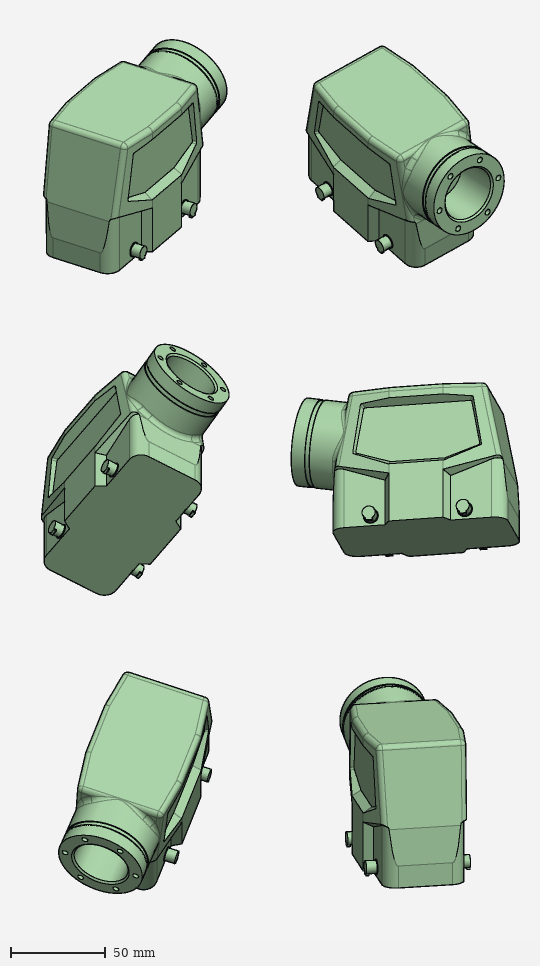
import cadquery as cq
import math

hood_height = 76.2
hood_half_length = 47.1
rim_height = 12.2
shoulder_height = 32.2
shoulder_half_length = 45.5
end_tilt = 11.0
lower_half_width = 22.0
lower_corner_radius = 7.4
lower_body_height = 34.2

clearance = 1.2
touch_tolerance = 0.01

wide_half_width = 27.1
wide_half_length = 14.6
side_taper = 8.2
upper_start = 17.7
edge_radius = 3.1

underside_height = 27.1
underside_rise = 0.35
underside_draft = 0.6

rib_foot_half_length = 17.7
rib_top = 35.3

pocket_floor_x = 22.4
pocket_top = 66.5
pocket_bottom = 35.2
pocket_top_half_length = 29.0
pocket_shoulder_half_length = 33.5
pocket_shoulder_height = 41.5
pocket_wall_taper = 32.0
pocket_corner_radius = 1.2

overall_y_max = 70.7
overall_height = 81.4
collar_radius = 23.4
collar_length = 35.3
collar_blend_radius = 2.7
groove_start = 7.4
groove_width = 2.5
groove_depth = 0.6
bore_radius = 15.1
bore_depth = 25.9
bore_chamfer = 1.1
screw_hole_count = 6
screw_hole_diameter = 3.2
screw_hole_circle = 39.6
screw_hole_depth = 7.1

overall_width = 56.0
pin_tip_x = overall_width / 2
pin_y = 25.3
pin_z = 5.4
pin_radius = 3.5
pin_ring_radius = 4.0
pin_ring_thickness = 0.4
pin_tab_length = 1.6
pin_tab_width = 3.7
pin_tab_bottom = 1.3

tilt = math.radians(end_tilt)
top_half_length = shoulder_half_length - (hood_height - shoulder_height) * math.tan(tilt)


def side_profile():
    """Hood outline seen along X, as a slab spanning its full width."""
    right_half = [
        (hood_half_length, 0),
        (hood_half_length, rim_height),
        (shoulder_half_length, shoulder_height),
        (top_half_length, hood_height),
    ]
    left_half = [(-y, z) for y, z in reversed(right_half)]
    return cq.Workplane("YZ").polyline(right_half + left_half).close().extrude(wide_half_width, both=True)


def lower_body():
    block = (
        cq.Workplane("XY")
        .rect(2 * lower_half_width, 2 * hood_half_length)
        .extrude(lower_body_height)
        .edges("|Z")
        .fillet(lower_corner_radius)
    )
    return block.intersect(side_profile())


def octagon():
    """Plan outline of the upper body."""
    taper_length = hood_half_length - wide_half_length
    end_half_width = wide_half_width - taper_length * math.tan(math.radians(side_taper))
    return [
        (wide_half_width, -wide_half_length),
        (wide_half_width, wide_half_length),
        (end_half_width, hood_half_length),
        (-end_half_width, hood_half_length),
        (-wide_half_width, wide_half_length),
        (-wide_half_width, -wide_half_length),
        (-end_half_width, -hood_half_length),
        (end_half_width, -hood_half_length),
    ]


def underside_cutter():
    """Space below the sloping underside at the +X, +Y quarter."""

    def section(x):
        """Closed outline of the cutter at distance x from the symmetry plane."""
        start = underside_height + underside_draft * (x - wide_half_width)
        end = start + underside_rise * (hood_half_length - wide_half_length)
        plane = cq.Plane(origin=(x, 0, 0), xDir=(0, 1, 0), normal=(1, 0, 0))
        outline = [
            (wide_half_length, 0),
            (hood_half_length, 0),
            (hood_half_length, end),
            (wide_half_length, start),
        ]
        return cq.Workplane(plane).polyline(outline).close().wires().val()

    return cq.Workplane(cq.Solid.makeLoft([section(0), section(wide_half_width + clearance)], True))


def upper_body():
    body = cq.Workplane("XY").workplane(offset=upper_start).polyline(octagon()).close()
    body = body.extrude(hood_height - upper_start)
    body = body.intersect(side_profile())
    edges_to_round = cq.selectors.StringSyntaxSelector(">Z")
    for side in (-1, 1):
        edges_to_round = edges_to_round + cq.selectors.BoxSelector(
            (-wide_half_width, side * (top_half_length - clearance), shoulder_height + clearance),
            (wide_half_width, side * hood_half_length, hood_height - clearance),
        )
    body = body.edges(edges_to_round).fillet(edge_radius)
    cutter = underside_cutter()
    cutter = cutter.union(cutter.mirror("YZ"))
    return body.cut(cutter).cut(cutter.mirror("XZ"))


def ribs():
    outline = [
        (wide_half_width, -wide_half_length),
        (wide_half_width, wide_half_length),
        (lower_half_width, rib_foot_half_length),
        (-lower_half_width, rib_foot_half_length),
        (-wide_half_width, wide_half_length),
        (-wide_half_width, -wide_half_length),
        (-lower_half_width, -rib_foot_half_length),
        (lower_half_width, -rib_foot_half_length),
    ]
    return cq.Workplane("XY").polyline(outline).close().extrude(rib_top)


def pocket_cutter():
    """Pocket on the +X side, opening outward."""
    outline = [
        (-pocket_top_half_length, pocket_top),
        (-pocket_shoulder_half_length, pocket_shoulder_height),
        (-wide_half_length, pocket_bottom),
        (wide_half_length, pocket_bottom),
        (pocket_shoulder_half_length, pocket_shoulder_height),
        (pocket_top_half_length, pocket_top),
    ]
    depth = wide_half_width - pocket_floor_x
    flare = depth * math.tan(math.radians(pocket_wall_taper))
    floor = cq.Workplane("YZ", origin=(pocket_floor_x, 0, 0)).polyline(outline).close()
    rim = cq.Workplane("YZ", origin=(wide_half_width, 0, 0)).polyline(outline).close()
    rim = rim.offset2D(flare, "intersection")
    plug = cq.Workplane(cq.Solid.makeLoft([floor.wires().val(), rim.wires().val()], True))
    for side in (-1, 1):
        end_corners = cq.selectors.BoxSelector(
            (pocket_floor_x + depth / 4, side * pocket_top_half_length, 0),
            (wide_half_width - depth / 4, side * hood_half_length, hood_height),
        )
        plug = plug.edges(end_corners).fillet(pocket_corner_radius)
    return plug


def collar_plane():
    """Plane of the collar mouth, normal pointing out of the collar."""
    center_y = overall_y_max - collar_radius * math.sin(tilt)
    center_z = overall_height - collar_radius * math.cos(tilt)
    return cq.Plane(
        origin=(0, center_y, center_z),
        xDir=(1, 0, 0),
        normal=(0, math.cos(tilt), math.sin(tilt)),
    )


def collar():
    return cq.Workplane(collar_plane()).circle(collar_radius).extrude(-collar_length)


def is_collar_root(edge):
    """True for the curved edges where the collar surface meets the body."""
    middle = collar_plane().toLocalCoords(edge.positionAt(0.5))
    on_collar = abs(math.hypot(middle.x, middle.y) - collar_radius) < touch_tolerance
    near_body = -collar_length < middle.z < -collar_length / 2
    return on_collar and near_body and edge.geomType() != "LINE"


def collar_cutters():
    mouth = cq.Workplane(collar_plane())
    groove = (
        mouth.workplane(offset=-groove_start)
        .circle(collar_radius + clearance)
        .circle(collar_radius - groove_depth)
        .extrude(-groove_width)
    )
    bore = mouth.circle(bore_radius).extrude(-bore_depth)
    lead_in = mouth.circle(bore_radius + bore_chamfer).extrude(-bore_chamfer, taper=45)
    screw_holes = (
        mouth.polarArray(screw_hole_circle / 2, 0, 360, screw_hole_count)
        .circle(screw_hole_diameter / 2)
        .extrude(-screw_hole_depth)
    )
    return groove.union(bore).union(lead_in).union(screw_holes)


def pin(y):
    """Locking pin on the +X side, with its base ring and the tab under its tip."""
    base = cq.Workplane("YZ", origin=(lower_half_width, y, pin_z))
    shaft = base.circle(pin_radius).extrude(pin_tip_x - lower_half_width)
    ring = base.circle(pin_ring_radius).extrude(pin_ring_thickness)
    tab = cq.Workplane("XY").box(
        pin_tab_length, pin_tab_width, pin_z - pin_tab_bottom, centered=(False, True, False)
    ).translate((pin_tip_x - pin_tab_length, y, pin_tab_bottom))
    return shaft.union(ring).union(tab)


shell = lower_body().union(upper_body()).union(ribs())
shell = shell.union(collar())
shell = shell.edges().filter(is_collar_root).fillet(collar_blend_radius)
shell = shell.cut(collar_cutters())
shell = shell.cut(pocket_cutter()).cut(pocket_cutter().mirror("YZ"))
for y in (-pin_y, pin_y):
    shell = shell.union(pin(y)).union(pin(y).mirror("YZ"))

result = shell